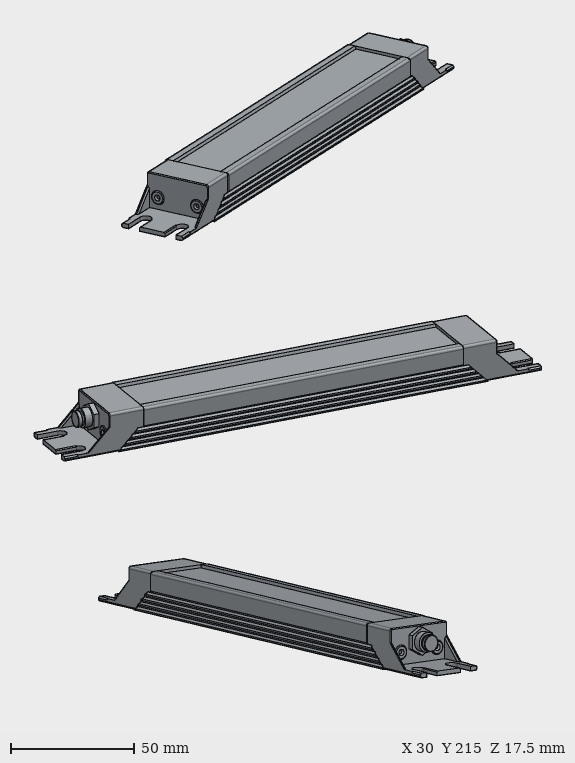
import cadquery as cq

LENGTH = 215.0
HEIGHT = 17.5
PROFILE_WIDTH = 30.0
CAP_WIDTH = 29.0
TOP_FILLET = 1.0

SEAM_Y = 72.0
LEDGE_Y = 74.4
LEDGE_Z = 8.8

GROOVE_TOP_Z = 9.5
GROOVE_PITCH = 2.4
GROOVE_COUNT = 4
GROOVE_DEPTH = 0.9
FULL_WIDTH_GROOVES = 2
LOWER_SIDE_INSET = 0.2

WINDOW_HALF_WIDTH = 11.2
WINDOW_DEPTH = 1.3
WINDOW_BEVEL = 0.5

CAP_FACE_Y = 87.5
CAP_FACE_CHAMFER = 0.5
CAP_BOTTOM_CHAMFER = 0.6
FOOT_THICKNESS = 2.0
CHEEK_THICKNESS = 1.3
CHEEK_CHAMFER = 0.6
CHEEK_TOE_Y = 96.8
CHEEK_TOP_Z = FOOT_THICKNESS + CHEEK_TOE_Y - CAP_FACE_Y

SLOT_X = 8.5
SLOT_WIDTH = 5.2
SLOT_END_Y = 95.7
TONGUE_BEVEL = 0.5

TIP_BEVEL = 0.6
TIP_BEVEL_LENGTH = 5.8

SCREW_X = 9.2
SCREW_Z = 7.0
SCREW_RADIUS = 3.0
SCREW_TOP_RADIUS = 2.5
SCREW_HEIGHT = 0.5
SOCKET_RADIUS = 1.3
SOCKET_FLOOR_RADIUS = 0.6
SOCKET_DEPTH = 0.9

CONNECTOR_Z = 11.0
NUT_ACROSS_CORNERS = 11.6
NUT_LENGTH = 2.4
COLLAR_RADIUS = 4.0
COLLAR_LENGTH = 3.2
NECK_RADIUS = 3.0
NECK_LENGTH = 0.9
PLUG_RADIUS = 3.5
PLUG_LENGTH = 2.0
PLUG_CHAMFER = 0.2


def extrude_along_y(outline, y_start, y_end):
    """Solid from a closed outline of (x, z) points, reaching from y_start to y_end."""
    plane = cq.Workplane("XZ", origin=(0, y_start, 0))
    return plane.polyline(outline).close().extrude(y_start - y_end)


def extrude_across_x(outline, half_width):
    """Solid from a closed outline of (y, z) points, reaching equally to both sides of x = 0."""
    return cq.Workplane("YZ").polyline(outline).close().extrude(half_width, both=True)


def cylinder_along_y(x, y, z, radius, length):
    """Round bar whose axis starts at (x, y, z) and runs towards +Y."""
    return cq.Workplane("XZ", origin=(x, y, z)).circle(radius).extrude(-length)


def profile_right_edge():
    """Right half of the profile section, from the window down to the bottom edge.

    The sides step in slightly below the full-width grooves.
    """
    side = PROFILE_WIDTH / 2
    points = [
        (WINDOW_HALF_WIDTH - WINDOW_BEVEL, HEIGHT - WINDOW_DEPTH),
        (WINDOW_HALF_WIDTH, HEIGHT),
        (side, HEIGHT),
    ]
    for i in range(GROOVE_COUNT):
        top_z = GROOVE_TOP_Z - i * GROOVE_PITCH
        points.append((side, top_z))
        points.append((side - GROOVE_DEPTH, top_z - GROOVE_DEPTH))
        if i == FULL_WIDTH_GROOVES:
            side -= LOWER_SIDE_INSET
        points.append((side, top_z - 2 * GROOVE_DEPTH))
    points.append((side, 0))
    return points


def make_profile():
    right = profile_right_edge()
    left = [(-x, z) for x, z in reversed(right)]
    toe_y = LEDGE_Y + LEDGE_Z
    half = [(SEAM_Y, HEIGHT), (SEAM_Y, LEDGE_Z), (LEDGE_Y, LEDGE_Z), (toe_y, 0)]
    side_outline = half + [(-y, z) for y, z in reversed(half)]
    bar = extrude_along_y(right + left, -toe_y, toe_y)
    bar = bar.edges("|Y").edges(">Z").edges("<X or >X").fillet(TOP_FILLET)
    return bar.intersect(extrude_across_x(side_outline, PROFILE_WIDTH))


def foot_slots():
    tools = cq.Workplane()
    radius = SLOT_WIDTH / 2
    centre_y = SLOT_END_Y + radius
    run = LENGTH / 2 - centre_y
    for x in (-SLOT_X, SLOT_X):
        round_end = cq.Workplane().center(x, centre_y).circle(radius).extrude(FOOT_THICKNESS)
        straight = cq.Workplane().center(x, centre_y + run / 2).rect(SLOT_WIDTH, run).extrude(FOOT_THICKNESS)
        tools = tools.add(round_end).add(straight)
    return tools.combine()


def cone_along_y(x, start_radius, end_radius, y_start, y_end):
    """Cut-off cone at a screw position, changing radius from y_start to y_end."""
    cone = cq.Solid.makeCone(
        start_radius,
        end_radius,
        y_end - y_start,
        pnt=cq.Vector(x, y_start, SCREW_Z),
        dir=cq.Vector(0, 1, 0),
    )
    return cq.Workplane(cone)


def add_screw_head(cap, x):
    """Low tapered head on the cap face with a tapered socket sunk into it."""
    head_y = CAP_FACE_Y + SCREW_HEIGHT
    head = cone_along_y(x, SCREW_RADIUS, SCREW_TOP_RADIUS, CAP_FACE_Y, head_y)
    socket = cone_along_y(x, SOCKET_FLOOR_RADIUS, SOCKET_RADIUS, head_y - SOCKET_DEPTH, head_y)
    return cap.union(head).cut(socket)


def chamfer_cheeks(cap):
    """Bevel the inner edges of both cheek slopes."""
    inner_x = CAP_WIDTH / 2 - CHEEK_THICKNESS
    middle_y = (CAP_FACE_Y + CHEEK_TOE_Y) / 2
    middle_z = (CHEEK_TOP_Z + FOOT_THICKNESS) / 2
    for x in (-inner_x, inner_x):
        cap = cap.edges(cq.selectors.NearestToPointSelector((x, middle_y, middle_z))).chamfer(CHEEK_CHAMFER)
    return cap


def bevel_foot_edge(cap, x, size, y_start):
    """Bevel the top edge of the foot at x, from y_start to the tip, on the side where x - size lies."""
    outline = [(x, FOOT_THICKNESS), (x - size, FOOT_THICKNESS), (x, FOOT_THICKNESS - abs(size))]
    return cap.cut(extrude_along_y(outline, y_start, LENGTH / 2))


def bevel_foot(cap):
    """Bevel the long edges of the tongue between the slots, and the outer sides of the tip."""
    tongue_x = SLOT_X - SLOT_WIDTH / 2
    tongue_start_y = SLOT_END_Y + SLOT_WIDTH / 2
    tip_start_y = LENGTH / 2 - TIP_BEVEL_LENGTH
    for side in (-1, 1):
        cap = bevel_foot_edge(cap, side * tongue_x, side * TONGUE_BEVEL, tongue_start_y)
        cap = bevel_foot_edge(cap, side * CAP_WIDTH / 2, side * TIP_BEVEL, tip_start_y)
    return cap


def make_cap():
    """Cap at the +Y end: box, sloping cheeks, slotted foot and two screw heads."""
    outline = [
        (SEAM_Y, HEIGHT),
        (CAP_FACE_Y, HEIGHT),
        (CAP_FACE_Y, CHEEK_TOP_Z),
        (CHEEK_TOE_Y, FOOT_THICKNESS),
        (LENGTH / 2, FOOT_THICKNESS),
        (LENGTH / 2, 0),
        (LEDGE_Y + LEDGE_Z, 0),
        (LEDGE_Y, LEDGE_Z),
        (SEAM_Y, LEDGE_Z),
    ]
    cap = extrude_across_x(outline, CAP_WIDTH / 2)
    cap = cap.edges("|Y and >Z").fillet(TOP_FILLET)
    cap = cap.faces("<Z").edges("|Y").chamfer(CAP_BOTTOM_CHAMFER)
    cap = cap.faces(">Z").edges(">Y").chamfer(CAP_FACE_CHAMFER)
    between_cheeks = cq.Workplane().box(
        CAP_WIDTH - 2 * CHEEK_THICKNESS,
        LENGTH / 2 - CAP_FACE_Y,
        HEIGHT - FOOT_THICKNESS,
        centered=(True, False, False),
    )
    cap = cap.cut(between_cheeks.translate((0, CAP_FACE_Y, FOOT_THICKNESS)))
    cap = chamfer_cheeks(cap)
    cap = bevel_foot(cap.cut(foot_slots()))
    for x in (-SCREW_X, SCREW_X):
        cap = add_screw_head(cap, x)
    return cap


def make_connector():
    """Hexagon nut with a corner upwards, then a collar, a neck and a plug end."""
    y = CAP_FACE_Y
    connector = (
        cq.Workplane("XZ", origin=(0, y, CONNECTOR_Z))
        .transformed(rotate=(0, 0, 90))
        .polygon(6, NUT_ACROSS_CORNERS)
        .extrude(-NUT_LENGTH)
    )
    y += NUT_LENGTH
    for radius, length in ((COLLAR_RADIUS, COLLAR_LENGTH), (NECK_RADIUS, NECK_LENGTH)):
        connector = connector.union(cylinder_along_y(0, y, CONNECTOR_Z, radius, length))
        y += length
    plug = cylinder_along_y(0, y, CONNECTOR_Z, PLUG_RADIUS, PLUG_LENGTH)
    return connector.union(plug.edges("%CIRCLE").chamfer(PLUG_CHAMFER))


profile = make_profile()
caps = [make_cap().rotate((0, 0, 0), (0, 0, 1), angle).val() for angle in (0, 180)]
connector = make_connector()

result = cq.Compound.makeCompound([profile.val(), *caps, connector.val()])